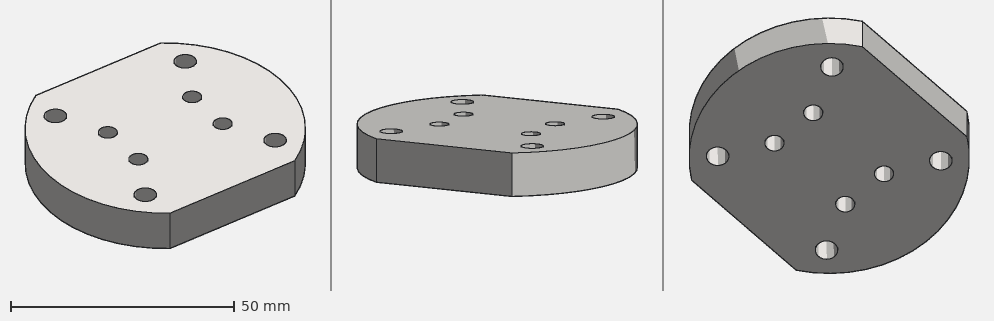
import cadquery as cq

plate_diameter = 62.8
width_across_flats = 52.8
thickness = 10.0

bolt_circle_diameter = 50.0
outer_hole_diameter = 5.0
outer_hole_count = 4
first_hole_angle = 45.0

inner_hole_diameter = 4.3
inner_spacing_x = 12.0
inner_spacing_y = 23.0


def flatted_plate():
    """Disc trimmed to the width across its flats, standing on Z = 0."""
    disc = cq.Workplane("XY").circle(plate_diameter / 2).extrude(thickness)
    trim = cq.Workplane("XY").rect(width_across_flats, plate_diameter).extrude(thickness)
    return disc.intersect(trim)


def outer_holes():
    return (
        cq.Workplane("XY")
        .polarArray(bolt_circle_diameter / 2, first_hole_angle, 360, outer_hole_count)
        .circle(outer_hole_diameter / 2)
        .extrude(thickness)
    )


def inner_holes():
    return (
        cq.Workplane("XY")
        .rect(inner_spacing_x, inner_spacing_y, forConstruction=True)
        .vertices()
        .circle(inner_hole_diameter / 2)
        .extrude(thickness)
    )


result = flatted_plate().cut(outer_holes()).cut(inner_holes())